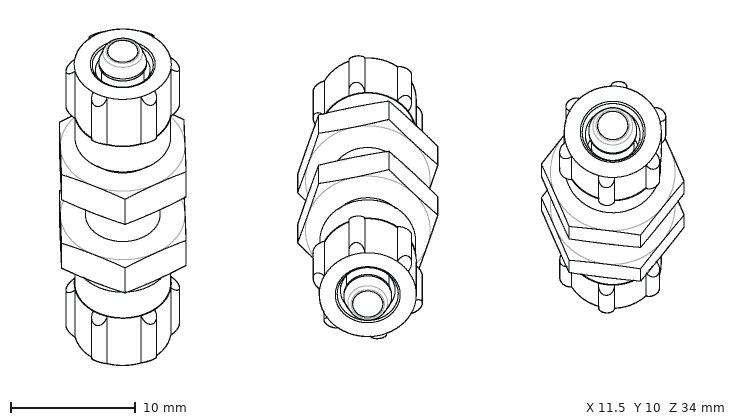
import cadquery as cq
import math


LENGTH = 34.0

BORE_D = 2.4
THREAD_D = 6.0
NECK_D = 3.4
BARB_D = 3.85
BARB_TIP_D = 3.05
BARB_CONE = 1.2
BARB_LAND = 0.3
BARB_TIP_ROUND = 0.27
BARB_BACK_ROUND = 0.1

SKIRT_D = 7.7
GRIP_D = 7.8
CAP_END = 15.5
CAP_START = 7.0
RIB_START = 10.0
HOLE_D = 4.4
FLARE_D = 4.9
RIM_D = 5.2
RIM_DEPTH = 0.1
FLARE_DEPTH = 0.68
RIB_COUNT = 6
FIRST_RIB_ANGLE = 90.0
RIB_R = 0.65
RIB_TIP_R = 4.55

HEX_SIDES = 6
HEX_FLATS = 10.0
HEX_HEIGHT = 3.2
HEX_CHAMFER_ANGLE = 10.0
HEX_TOPS = (6.0, -2.0)

HALF = LENGTH / 2
SHOULDER = RIB_START


def make_body():
    """Threaded tube with a neck and a tapered barb at each end."""
    cone_start = HALF - BARB_CONE
    barb_start = cone_start - BARB_LAND
    profile = (
        cq.Workplane("XZ")
        .moveTo(0, -HALF)
        .lineTo(BARB_TIP_D / 2, -HALF)
        .lineTo(BARB_D / 2, -cone_start)
        .lineTo(BARB_D / 2, -barb_start - BARB_BACK_ROUND)
        .radiusArc((BARB_D / 2 - BARB_BACK_ROUND, -barb_start), -BARB_BACK_ROUND)
        .lineTo(NECK_D / 2, -barb_start)
        .lineTo(NECK_D / 2, -SHOULDER)
        .lineTo(THREAD_D / 2, -SHOULDER)
        .lineTo(THREAD_D / 2, SHOULDER)
        .lineTo(NECK_D / 2, SHOULDER)
        .lineTo(NECK_D / 2, barb_start)
        .lineTo(BARB_D / 2 - BARB_BACK_ROUND, barb_start)
        .radiusArc((BARB_D / 2, barb_start + BARB_BACK_ROUND), -BARB_BACK_ROUND)
        .lineTo(BARB_D / 2, cone_start)
        .lineTo(BARB_TIP_D / 2, HALF)
        .lineTo(0, HALF)
        .close()
    )
    solid = profile.revolve(360, (0, 0, 0), (0, 1, 0))
    solid = solid.faces("<Z or >Z").edges().fillet(BARB_TIP_ROUND)
    bore = cq.Workplane("XY").circle(BORE_D / 2).extrude(LENGTH, both=True)
    return solid.cut(bore)


def make_rib():
    """Rounded grip rib on the +X side, its ends cut by 45 degree cones down to the grip surface."""
    root_r = GRIP_D / 2
    rise = RIB_TIP_R - root_r
    rod = (
        cq.Workplane("XY", origin=(RIB_TIP_R - RIB_R, 0, RIB_START))
        .circle(RIB_R)
        .extrude(CAP_END - RIB_START)
    )
    end_envelope = (
        cq.Workplane("XZ")
        .moveTo(0, RIB_START)
        .lineTo(root_r, RIB_START)
        .lineTo(RIB_TIP_R, RIB_START + rise)
        .lineTo(RIB_TIP_R, CAP_END - rise)
        .lineTo(root_r, CAP_END)
        .lineTo(0, CAP_END)
        .close()
        .revolve(360, (0, 0, 0), (0, 1, 0))
    )
    return rod.intersect(end_envelope)


def make_cap():
    """Ribbed cap nut over the upper end of the body."""
    skirt = cq.Workplane("XY", origin=(0, 0, CAP_START)).circle(SKIRT_D / 2).extrude(RIB_START - CAP_START)
    grip = cq.Workplane("XY", origin=(0, 0, RIB_START)).circle(GRIP_D / 2).extrude(CAP_END - RIB_START)
    cap = skirt.union(grip)
    rib = make_rib()
    for i in range(RIB_COUNT):
        angle = FIRST_RIB_ANGLE + i * 360 / RIB_COUNT
        cap = cap.union(rib.rotate((0, 0, 0), (0, 0, 1), angle))
    opening = (
        cq.Workplane("XZ")
        .moveTo(0, CAP_START)
        .lineTo(THREAD_D / 2, CAP_START)
        .lineTo(THREAD_D / 2, SHOULDER)
        .lineTo(HOLE_D / 2, SHOULDER)
        .lineTo(HOLE_D / 2, CAP_END - FLARE_DEPTH)
        .lineTo(FLARE_D / 2, CAP_END - RIM_DEPTH)
        .lineTo(RIM_D / 2, CAP_END)
        .lineTo(0, CAP_END)
        .close()
        .revolve(360, (0, 0, 0), (0, 1, 0))
    )
    return cap.cut(opening)


def make_hex_nut(top):
    """Hexagon nut with corners on the X axis, chamfered at both faces."""
    corner_r = HEX_FLATS / 2 / math.cos(math.pi / HEX_SIDES)
    flat_r = HEX_FLATS / 2
    drop = (corner_r - flat_r) * math.tan(math.radians(HEX_CHAMFER_ANGLE))
    bottom = top - HEX_HEIGHT
    prism = (
        cq.Workplane("XY", origin=(0, 0, bottom))
        .polygon(HEX_SIDES, 2 * corner_r)
        .circle(THREAD_D / 2)
        .extrude(HEX_HEIGHT)
    )
    chamfer_envelope = (
        cq.Workplane("XZ")
        .moveTo(0, bottom)
        .lineTo(flat_r, bottom)
        .lineTo(corner_r, bottom + drop)
        .lineTo(corner_r, top - drop)
        .lineTo(flat_r, top)
        .lineTo(0, top)
        .close()
        .revolve(360, (0, 0, 0), (0, 1, 0))
    )
    return prism.intersect(chamfer_envelope)


body = make_body()
upper_cap = make_cap()
caps = [upper_cap, upper_cap.mirror("XY")]
hex_nuts = [make_hex_nut(top) for top in HEX_TOPS]

result = cq.Compound.makeCompound([
    body.val(),
    *[cap.val() for cap in caps],
    *[nut.val() for nut in hex_nuts],
])